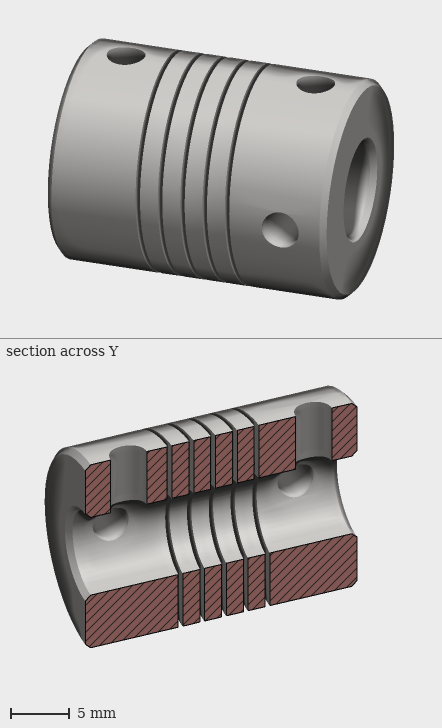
import cadquery as cq

length = 25.0
outer_radius = 9.5
bore_radius = 4.0
chamfer = 0.5

hole_diameter = 3.3
hole_inset = 4.0
left_hole_x = hole_inset
right_hole_x = length - hole_inset

slot_pitch = 2.0
slot_turns = 5
slot_width = 0.4
slot_start_angle = 45.0
slot_overcut = 0.75
slot_length = slot_pitch * slot_turns
slot_start_x = (length - slot_length) / 2


def make_body():
    """Cylinder with a through bore, chamfered on all four end edges."""
    tube = cq.Workplane("YZ").circle(outer_radius).circle(bore_radius).extrude(length)
    return tube.faces("<X or >X").edges().chamfer(chamfer)


def radial_hole(x, angle):
    """Cutter from the axis through one wall; angle is about X, from +Y toward +Z."""
    cutter = cq.Workplane("XZ", origin=(x, 0, 0)).circle(hole_diameter / 2).extrude(-length / 2)
    return cutter.rotate((0, 0, 0), (1, 0, 0), angle)


def helical_slot():
    """Rectangular section swept along a right-handed helix about X."""
    inner = bore_radius - slot_overcut
    outer = outer_radius + slot_overcut
    middle = (inner + outer) / 2
    helix = cq.Wire.makeHelix(slot_pitch, slot_length, middle)
    section = cq.Workplane("XZ").center(middle, 0).rect(outer - inner, slot_width)
    cutter = section.sweep(cq.Workplane(obj=helix), isFrenet=True)
    cutter = cutter.rotate((0, 0, 0), (1, 1, 1), 120)
    cutter = cutter.rotate((0, 0, 0), (1, 0, 0), slot_start_angle)
    return cutter.translate((slot_start_x, 0, 0))


result = make_body()

for angle in (0, 90):
    result = result.cut(radial_hole(left_hole_x, angle))

for angle in (0, 90, 180):
    result = result.cut(radial_hole(right_hole_x, angle))

result = result.cut(helical_slot())